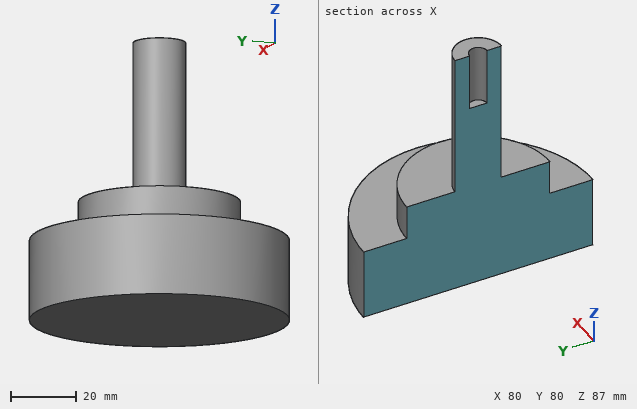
import cadquery as cq

base_diameter = 80.0
base_height = 25.0
step_diameter = 50.0
step_height = 12.0
shaft_diameter = 16.25
shaft_length = 50.0
bore_diameter = 6.0
bore_depth = 20.0


def add_disc(body, diameter, height):
    """Stack a coaxial disc on the top face of the body."""
    return body.faces(">Z").workplane().circle(diameter / 2).extrude(height)


def cut_shaft_bore(body):
    """Cut the flat-bottomed blind bore in the end of the shaft."""
    return body.faces(">Z").workplane().hole(bore_diameter, bore_depth)


base = cq.Workplane("XY").circle(base_diameter / 2).extrude(base_height)

stepped_base = add_disc(base, step_diameter, step_height)
shaft_body = add_disc(stepped_base, shaft_diameter, shaft_length)

result = cut_shaft_bore(shaft_body)